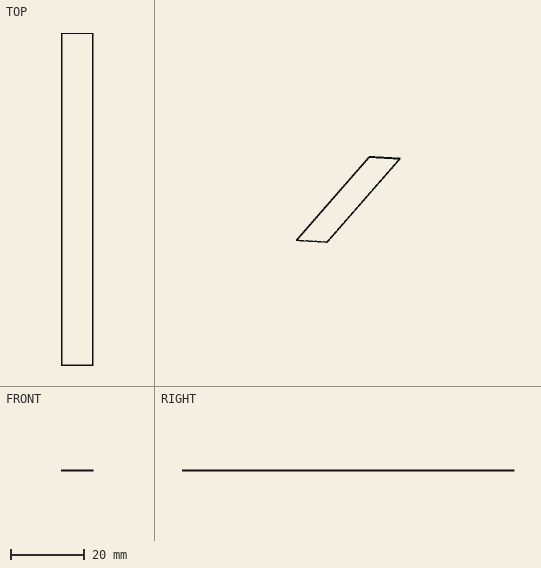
import cadquery as cq

width = 8.5
length = 90.0
thickness = 0.25

result = cq.Workplane("XY").box(width, length, thickness)